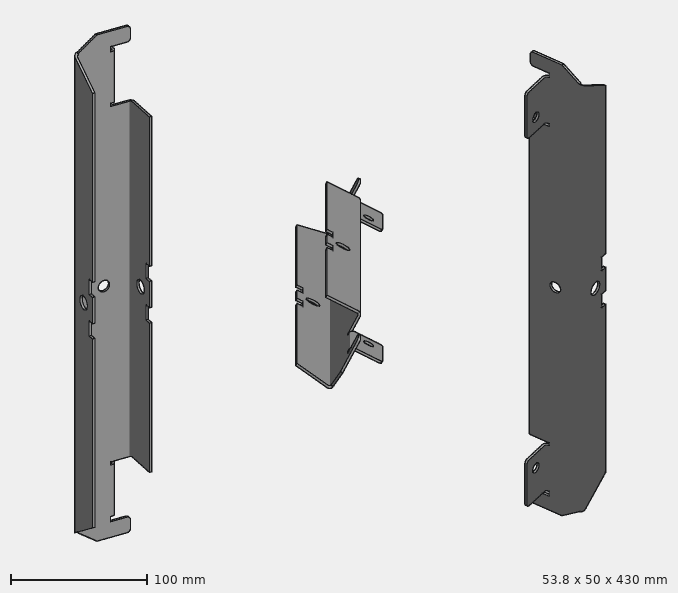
import cadquery as cq
import math

length = 430.0
total_depth = 53.8
width = 50.0

sheet = 2.0
inner_radius = 1.4
bend_radius = inner_radius + sheet

tab_reach = 24.5
flange_depth = total_depth - tab_reach
half_width = width / 2
half_length = length / 2
bend_line = half_width - bend_radius

taper_start_y = -6.0
shoulder_z = 204.0
flange_end_z = 184.5

short_flange_half = 151.0
hook_y = 22.5
hook_inner_z = 201.5
hook_corner_radius = 3.0

tab_outer_y = 10.5
tab_low_z = 153.5
tab_high_z = 197.5
tab_corner_radius = 3.0
tab_hole_diameter = 8.0
tab_hole_from_edge = 11.5
tab_hole_z = 167.3
relief_depth = 1.5
tab_bend_line = tab_outer_y - bend_radius
relief_y = tab_bend_line - relief_depth

web_hole_diameter = 9.5
flange_hole_diameter = 11.0
flange_hole_from_edge = 13.5
notch_depth = 5.0
notch_height = 13.0
notch_z = 17.5


def folded_strip(fold_y, reach, z_low, z_high):
    """Quarter bend and flat leg: leaves the web at fold_y, turns to +Y, then runs to X = reach."""
    outer_y = fold_y + bend_radius
    diagonal = math.sqrt(0.5)
    profile = (
        cq.Workplane("XY", origin=(0, 0, z_low))
        .moveTo(0, fold_y)
        .threePointArc(
            (bend_radius * (1 - diagonal), fold_y + bend_radius * diagonal),
            (bend_radius, outer_y),
        )
        .lineTo(reach, outer_y)
        .lineTo(reach, outer_y - sheet)
        .lineTo(bend_radius, outer_y - sheet)
        .threePointArc(
            (bend_radius - inner_radius * diagonal, fold_y + inner_radius * diagonal),
            (sheet, fold_y),
        )
        .close()
    )
    return profile.extrude(z_high - z_low)


def make_web():
    """Flat web with tapered -Y corners, a hook at each end and bend reliefs beside the tabs."""
    upper_edge = [
        (-bend_line, shoulder_z),
        (taper_start_y, half_length),
        (hook_y, half_length),
        (hook_y, hook_inner_z),
        (relief_y, hook_inner_z),
        (relief_y, tab_high_z),
        (tab_bend_line, tab_high_z),
        (tab_bend_line, tab_low_z),
        (relief_y, tab_low_z),
        (relief_y, short_flange_half),
        (bend_line, short_flange_half),
    ]
    lower_edge = [(y, -z) for y, z in reversed(upper_edge)]
    web = cq.Workplane("YZ").polyline(upper_edge + lower_edge).close().extrude(sheet)
    web = web.edges("|X and >Y").fillet(hook_corner_radius)
    hole = cq.Workplane("YZ").circle(web_hole_diameter / 2).extrude(sheet)
    return web.cut(hole)


def make_long_flange():
    """-Y flange whose two ends slope from the web down to the free edge."""
    flange = folded_strip(bend_line, flange_depth, -shoulder_z, shoulder_z).mirror("XZ")
    outline = (
        cq.Workplane("XZ")
        .polyline([
            (0, shoulder_z),
            (flange_depth, flange_end_z),
            (flange_depth, -flange_end_z),
            (0, -shoulder_z),
        ])
        .close()
        .extrude(half_width)
    )
    return flange.intersect(outline)


def make_flange_cutouts():
    """Round hole and two edge notches passing through both flanges."""
    plane = cq.Workplane("XZ")
    cutouts = (
        plane.center(flange_depth - flange_hole_from_edge, 0)
        .circle(flange_hole_diameter / 2)
        .extrude(half_width, both=True)
    )
    notches = (
        plane.pushPoints([(flange_depth, -notch_z), (flange_depth, notch_z)])
        .rect(2 * notch_depth, notch_height)
        .extrude(half_width, both=True)
    )
    return cutouts.union(notches)


def make_upper_tab():
    """Tab folded towards -X, with rounded free corners and one hole."""
    tab = folded_strip(tab_bend_line, tab_reach + sheet, tab_low_z, tab_high_z)
    tab = tab.mirror("YZ").translate((sheet, 0, 0))
    tab = tab.faces("<X").edges("|Y").fillet(tab_corner_radius)
    hole = (
        cq.Workplane("XZ")
        .center(-tab_reach + tab_hole_from_edge, tab_hole_z)
        .circle(tab_hole_diameter / 2)
        .extrude(-half_width)
    )
    return tab.cut(hole)


short_flange = folded_strip(bend_line, flange_depth, -short_flange_half, short_flange_half)
upper_tab = make_upper_tab()

channel = make_web().union(make_long_flange()).union(short_flange)
channel = channel.cut(make_flange_cutouts())
result = channel.union(upper_tab).union(upper_tab.mirror("XY"))